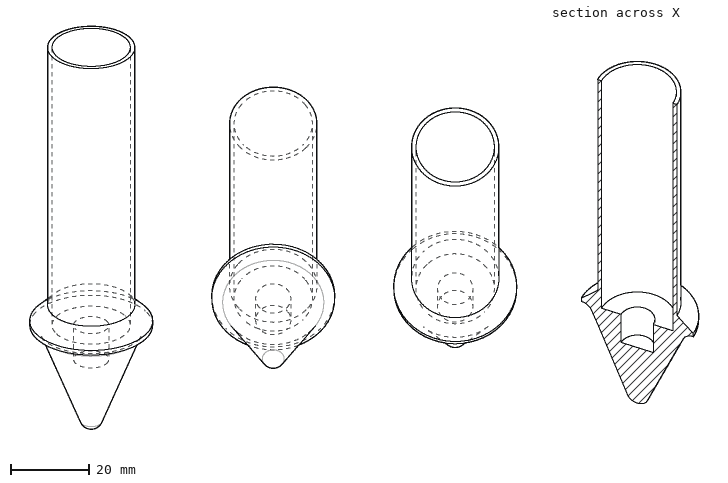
import cadquery as cq
import math

total_height = 111.2
tube_radius = 22.4 / 2
bore_radius = 20.0 / 2

collar_radius = 31.5 / 2
collar_bottom = 30.0
collar_rim_height = 1.3
collar_rim_top = collar_bottom + collar_rim_height
collar_top = collar_rim_top + collar_radius - tube_radius

nose_radius = 3.0
fillet_radius = 3.0

bore_floor = collar_bottom
pilot_radius = 9.0 / 2
pilot_depth = 10.0

fillet_center_z = collar_bottom - fillet_radius
center_rise = fillet_center_z - nose_radius
center_distance = math.hypot(collar_radius, center_rise)
cone_angle = (
    math.acos((nose_radius + fillet_radius) / center_distance)
    - math.atan2(center_rise, collar_radius)
)


def arc_point(center_r, center_z, radius, angle):
    """Point (r, z) on an arc, with the angle measured from the +r direction."""
    return (center_r + radius * math.cos(angle), center_z + radius * math.sin(angle))


def make_body():
    """Solid of revolution for the tube, collar and point."""
    nose_middle_angle = (-math.pi / 2 - cone_angle) / 2
    fillet_end_angle = math.pi - cone_angle
    fillet_middle_angle = (fillet_end_angle + math.pi / 2) / 2

    nose_middle = arc_point(0, nose_radius, nose_radius, nose_middle_angle)
    nose_end = arc_point(0, nose_radius, nose_radius, -cone_angle)
    cone_top = arc_point(collar_radius, fillet_center_z, fillet_radius, fillet_end_angle)
    fillet_middle = arc_point(collar_radius, fillet_center_z, fillet_radius, fillet_middle_angle)

    return (
        cq.Workplane("XZ")
        .moveTo(0, 0)
        .threePointArc(nose_middle, nose_end)
        .lineTo(*cone_top)
        .threePointArc(fillet_middle, (collar_radius, collar_bottom))
        .lineTo(collar_radius, collar_rim_top)
        .lineTo(tube_radius, collar_top)
        .lineTo(tube_radius, total_height)
        .lineTo(0, total_height)
        .close()
        .revolve(360, (0, 0, 0), (0, 1, 0))
    )


def make_hole(radius, bottom, top):
    """Vertical cylinder to be cut on the part axis."""
    return cq.Workplane("XY").workplane(offset=bottom).circle(radius).extrude(top - bottom)


bore = make_hole(bore_radius, bore_floor, total_height)
pilot_hole = make_hole(pilot_radius, bore_floor - pilot_depth, bore_floor)

result = make_body().cut(bore).cut(pilot_hole)